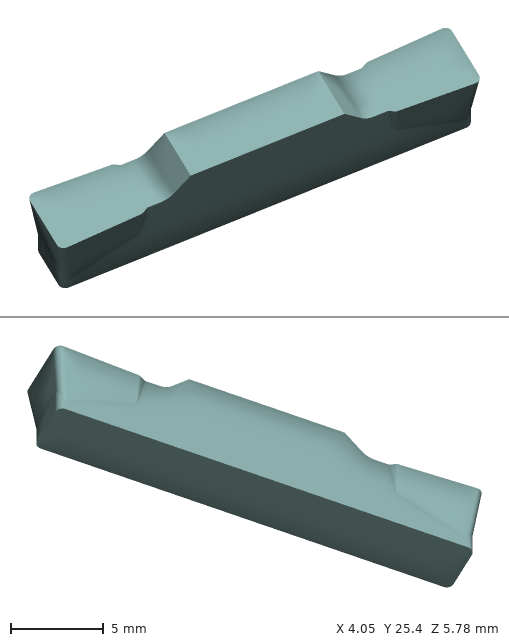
import cadquery as cq
import math

length = 25.35
head_width = 4.05
height = 5.78

bar_width = 3.17
bar_corner_radius = 0.4
plateau_length = 9.22
ramp_angle = 45.0
ramp_blend_radius = 1.1

head_top = 4.43
front_face_bottom = 1.62
relief_angle = 6.5
side_taper_angle = 2.6
head_side_length = 5.05
shoulder_angle = 30.0
shoulder_radius = 0.25
corner_radius = 0.4
head_root_half_width = 1.27


def slope(angle):
    return math.tan(math.radians(angle))


bar_length = length - 2 * (head_top - front_face_bottom) * slope(relief_angle)

corner_turn = math.radians(90 + side_taper_angle)
widest_setback = corner_radius * math.tan(corner_turn / 2)
sharp_half_width = head_width / 2 + widest_setback * slope(side_taper_angle)


def make_bar():
    """Straight bar with a raised plateau and blended 45 degree ramps."""
    lower = cq.Workplane("XY").box(bar_width, bar_length, head_top, centered=(True, True, False))
    lower = lower.edges("|Z").fillet(bar_corner_radius)

    plateau_end = plateau_length / 2
    ramp_foot = plateau_end + (height - head_top) / slope(ramp_angle)
    blend_length = ramp_blend_radius * slope(ramp_angle / 2)
    blend_end = ramp_foot + blend_length
    blend_start = ramp_foot - blend_length * math.cos(math.radians(ramp_angle))
    blend_start_z = head_top + blend_length * math.sin(math.radians(ramp_angle))
    half_turn = math.radians(ramp_angle / 2)
    blend_mid = blend_end - ramp_blend_radius * math.sin(half_turn)
    blend_mid_z = head_top + ramp_blend_radius * (1 - math.cos(half_turn))

    raised = (
        cq.Workplane("YZ")
        .moveTo(-blend_end, 0)
        .lineTo(-blend_end, head_top)
        .threePointArc((-blend_mid, blend_mid_z), (-blend_start, blend_start_z))
        .lineTo(-plateau_end, height)
        .lineTo(plateau_end, height)
        .lineTo(blend_start, blend_start_z)
        .threePointArc((blend_mid, blend_mid_z), (blend_end, head_top))
        .lineTo(blend_end, 0)
        .close()
        .extrude(bar_width / 2, both=True)
    )
    return lower.union(raised)


def make_head():
    """Cutting head at the +Y end, relieved downward on every flank."""
    front = length / 2
    shoulder = front - head_side_length
    shoulder_half_width = sharp_half_width - head_side_length * slope(side_taper_angle)
    root = shoulder - (shoulder_half_width - head_root_half_width) / slope(shoulder_angle)
    outline = [
        (-sharp_half_width, front),
        (-shoulder_half_width, shoulder),
        (-head_root_half_width, root),
        (head_root_half_width, root),
        (shoulder_half_width, shoulder),
        (sharp_half_width, front),
    ]
    head = (
        cq.Workplane("XY", origin=(0, 0, head_top))
        .polyline(outline)
        .close()
        .extrude(-head_top, taper=relief_angle)
    )
    corners = head.edges("not #Z").filter(lambda edge: edge.Center().y > front - head_side_length / 2)
    head = corners.fillet(corner_radius)

    left_shoulder = cq.selectors.NearestToPointSelector((-shoulder_half_width, shoulder, head_top / 2))
    right_shoulder = cq.selectors.NearestToPointSelector((shoulder_half_width, shoulder, head_top / 2))
    shoulder_edges = head.edges(left_shoulder + right_shoulder)
    return shoulder_edges.fillet(shoulder_radius)


head = make_head()
result = make_bar().union(head).union(head.mirror("XZ"))